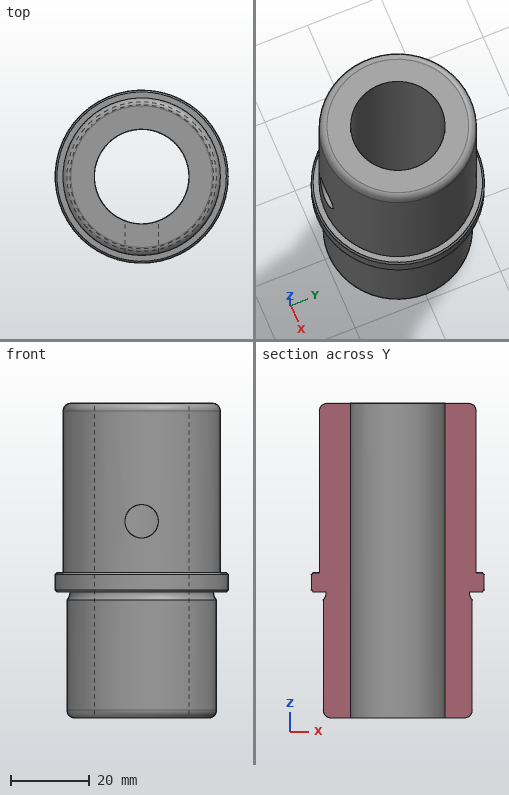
import cadquery as cq

total_height = 80.0
bore_radius = 12.0
upper_radius = 20.0
lower_diameter = 38.0
lower_radius = lower_diameter / 2
end_rounding = 2.0

flange_radius = 22.0
flange_bottom = 32.0
flange_height = 5.0
flange_top = flange_bottom + flange_height
flange_chamfer = 0.5

neck_height = 2.0
neck_flare = 0.7
neck_top_radius = lower_radius - neck_flare
neck_arc_radius = (neck_height**2 + neck_flare**2) / (2 * neck_flare)
neck_bottom = flange_bottom - neck_height

side_hole_diameter = 8.5
side_hole_height = 50.0


def cylinder(radius, bottom, top):
    return cq.Workplane("XY").workplane(offset=bottom).circle(radius).extrude(top - bottom)


spigot = cylinder(lower_radius, 0, neck_bottom).faces("<Z").edges().fillet(end_rounding)
neck = (
    cq.Workplane("XZ")
    .moveTo(0, flange_bottom)
    .lineTo(neck_top_radius, flange_bottom)
    .radiusArc((lower_radius, neck_bottom), -neck_arc_radius)
    .lineTo(0, neck_bottom)
    .close()
    .revolve(360, (0, 0), (0, 1))
)
flange = cylinder(flange_radius, flange_bottom, flange_top).edges().chamfer(flange_chamfer)
barrel = cylinder(upper_radius, flange_top, total_height).faces(">Z").edges().fillet(end_rounding)
body = spigot.union(neck).union(flange).union(barrel)

bore = cylinder(bore_radius, 0, total_height)

side_hole = (
    cq.Workplane("XZ")
    .center(0, side_hole_height)
    .circle(side_hole_diameter / 2)
    .extrude(flange_radius)
)

result = body.cut(bore).cut(side_hole)